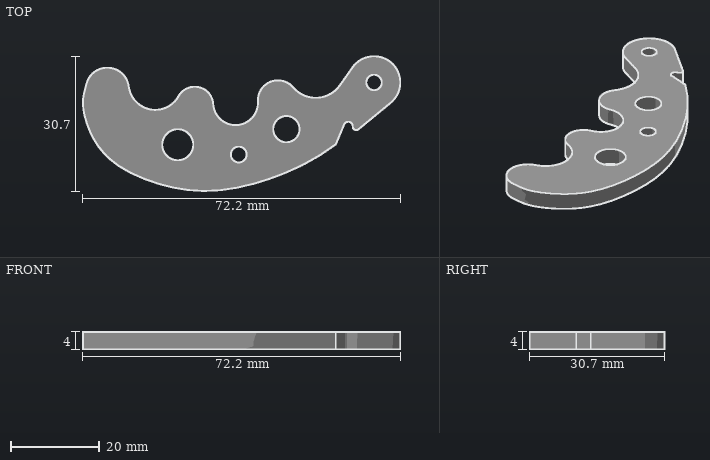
import cadquery as cq
import math

thickness = 4.0

end_lobe = (5.55, 23.15, 4.9)
left_valley = (16.5, 24.5, 6.05)
left_lobe = (25.4, 19.5, 4.25)
middle_valley = (34.7, 20.05, 5.05)
right_lobe = (44.2, 20.7, 4.5)
right_valley = (53.0, 27.7, 6.5)
eye = (66.15, 24.7, 6.0)
hook_tip = (62.1, 14.7, 0.9)
notch = (60.3, 14.7, 1.0)

back_start = (57.5, 10.6)
back_points = [(42.35, 2.75), (27.7, 0), (14.0, 2.75), (3.25, 10.5), (0, 19.85)]
back_start_direction = (-0.8, -0.6)
end_lobe_entry_angle = 165

holes = [
    (21.6, 10.5, 7.0),
    (35.4, 8.3, 3.5),
    (46.25, 14.1, 5.9),
    (eye[0], eye[1], 3.45),
]


def point_on(circle, angle):
    """Point on a circle at an angle in degrees from +X."""
    x, y, radius = circle
    turn = math.radians(angle)
    return (x + radius * math.cos(turn), y + radius * math.sin(turn))


def direction(start, end):
    """Angle in degrees from one point or circle centre to another."""
    return math.degrees(math.atan2(end[1] - start[1], end[0] - start[0]))


def distance(start, end):
    return math.hypot(end[0] - start[0], end[1] - start[1])


def contact(first, second):
    """Meeting point of two neighbouring circles, shared out by radius along their centre line."""
    share = first[2] / (first[2] + second[2])
    return tuple(first[i] + share * (second[i] - first[i]) for i in range(2))


flank_lean = math.degrees(math.acos((right_valley[2] + eye[2]) / distance(right_valley, eye)))
flank_angle = direction(right_valley, eye) - flank_lean
flank_start = point_on(right_valley, flank_angle)
flank_end = point_on(eye, flank_angle + 180)

underside_lean = math.degrees(math.acos((eye[2] - hook_tip[2]) / distance(eye, hook_tip)))
underside_angle = direction(eye, hook_tip) + underside_lean
underside_start = point_on(eye, underside_angle)
underside_end = point_on(hook_tip, underside_angle)

notch_lean = math.degrees(math.acos(notch[2] / distance(notch, back_start)))
notch_side_start = point_on(notch, direction(notch, back_start) - notch_lean)

outline = cq.Workplane("XY").moveTo(*point_on(end_lobe, end_lobe_entry_angle))
grip = [end_lobe, left_valley, left_lobe, middle_valley, right_lobe, right_valley]
crest_angles = [90, -90, 90, -90, 90]
for circle, following, crest in zip(grip, grip[1:], crest_angles):
    outline = outline.threePointArc(point_on(circle, crest), contact(circle, following))

outline = (
    outline.threePointArc(point_on(right_valley, -90), flank_start)
    .lineTo(*flank_end)
    .threePointArc(point_on(eye, 45), underside_start)
    .lineTo(*underside_end)
    .threePointArc(point_on(hook_tip, -120), contact(hook_tip, notch))
    .threePointArc(point_on(notch, 90), notch_side_start)
    .lineTo(*back_start)
)

entry_turn = math.radians(end_lobe_entry_angle - 90)
outline = outline.spline(
    back_points + [point_on(end_lobe, end_lobe_entry_angle)],
    tangents=[back_start_direction, (math.cos(entry_turn), math.sin(entry_turn))],
    includeCurrent=True,
).close()

result = outline.extrude(thickness)
for x, y, diameter in holes:
    cutter = cq.Workplane("XY").center(x, y).circle(diameter / 2).extrude(thickness)
    result = result.cut(cutter)